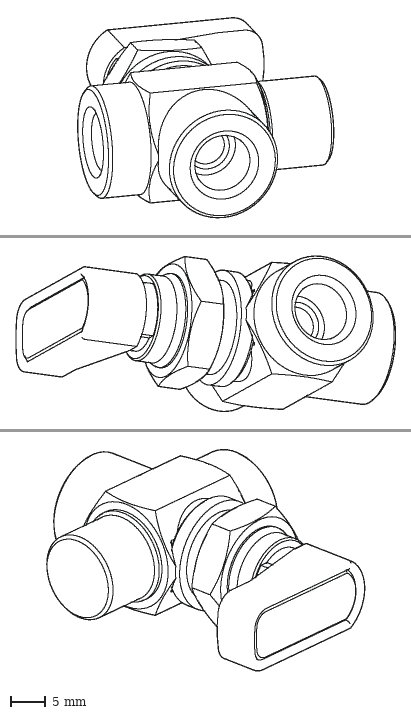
import cadquery as cq
import math


HEX_ACROSS_FLATS = 17.0
HEX_CORNER_RADIUS = HEX_ACROSS_FLATS / math.sqrt(3)
CHAMFER_SLOPE = math.tan(math.radians(30))

BODY_HALF_LENGTH = 9.0
BOSS_RADIUS = 7.45
PORT_RADIUS = 8.3
PORT_REACH_Y = 15.4
PORT_REACH_X = 15.5
PORT_CHAMFER = 0.5
BORE_RADIUS = 4.2
BORE_CHAMFER = 1.05
BORE_DEPTH = 8.35
SEAT_RADIUS = 3.3
SEAT_FLOOR_RADIUS = 2.7
SEAT_DEPTH = SEAT_RADIUS - SEAT_FLOOR_RADIUS
SPIGOT_RADIUS = 6.55
SPIGOT_REACH = 19.6
COLLAR_RADIUS = 7.05
COLLAR_END = 10.1

BONNET_START = -22.45
PILOT_RADIUS = 6.4
PILOT_CHAMFER = 0.3
PILOT_END = -19.55
THREAD_START = -18.38
THREAD_RADIUS = 6.95
FLANGE_START = -10.05
FLANGE_END = -7.4
FLANGE_RADIUS = 8.5
FLANGE_CHAMFER = 0.55

NUT_START = -18.1
NUT_END = -12.85
NUT_FACE_RADIUS = 8.4
NUT_TURN = -3.3

HANDLE_FRONT = -33.5
HANDLE_HALF_WIDTH = 5.55
TIP_RADIUS = 19.0
HUB_RADIUS = 6.35
TIP_CORNER_RADIUS = 2.95
TIP_BACK = -27.05
HUB_BACK = -24.5
SLOPE_TIP_Y = 11.95
SLOPE_HUB_Y = -0.5
RIM_FILLET = 0.6
RECESS_INSET = 1.35
RECESS_CORNER_RADIUS = 2.45
RECESS_DEPTH = 0.95
PANEL_RISE = 0.55
PANEL_BEVEL = 0.5
SKIRT_RADIUS = 5.95
SKIRT_HALF_WIDTH = 3.95

STEM_RADIUS = 5.05


def cylinder_x(radius, start, end):
    return cq.Workplane("YZ", origin=(start, 0, 0)).circle(radius).extrude(end - start)


def hexagon_prism(half_length, face_radius):
    """Hexagon along local Z, centred, with both ends turned down to a cone at face_radius."""
    prism = cq.Workplane("XY").polygon(6, 2 * HEX_CORNER_RADIUS).extrude(half_length, both=True)
    chamfer_depth = (HEX_CORNER_RADIUS - face_radius) * CHAMFER_SLOPE
    turned = (
        cq.Workplane("XZ")
        .moveTo(0, -half_length)
        .lineTo(face_radius, -half_length)
        .lineTo(HEX_CORNER_RADIUS, chamfer_depth - half_length)
        .lineTo(HEX_CORNER_RADIUS, half_length - chamfer_depth)
        .lineTo(face_radius, half_length)
        .lineTo(0, half_length)
        .close()
        .revolve(360, (0, 0, 0), (0, 1, 0))
    )
    return prism.intersect(turned)


def port_plug(reach):
    """Outside of a female port along local Z."""
    return cq.Workplane("XY").circle(PORT_RADIUS).extrude(reach).faces(">Z").chamfer(PORT_CHAMFER)


def port_bore(reach):
    """Hollow of a female port along local Z: mouth chamfer, blind bore and conical seat."""
    floor = reach - BORE_DEPTH
    return (
        cq.Workplane("XZ")
        .moveTo(0, reach)
        .lineTo(BORE_RADIUS + BORE_CHAMFER, reach)
        .lineTo(BORE_RADIUS, reach - BORE_CHAMFER)
        .lineTo(BORE_RADIUS, floor)
        .lineTo(SEAT_RADIUS, floor)
        .lineTo(SEAT_FLOOR_RADIUS, floor - SEAT_DEPTH)
        .lineTo(0, floor - SEAT_DEPTH)
        .close()
        .revolve(360, (0, 0, 0), (0, 1, 0))
    )


def toward_front(shape):
    """Turns local +Z to -Y."""
    return shape.rotate((0, 0, 0), (1, 0, 0), 90)


def toward_right(shape):
    """Turns local +Z to +X."""
    return shape.rotate((0, 0, 0), (0, 1, 0), 90)


def make_spigot():
    collar_step = COLLAR_RADIUS - SPIGOT_RADIUS
    return (
        cq.Workplane("XY")
        .lineTo(COLLAR_RADIUS, 0)
        .lineTo(COLLAR_RADIUS, COLLAR_END - collar_step)
        .lineTo(SPIGOT_RADIUS, COLLAR_END)
        .lineTo(SPIGOT_RADIUS, SPIGOT_REACH - PORT_CHAMFER)
        .lineTo(SPIGOT_RADIUS - PORT_CHAMFER, SPIGOT_REACH)
        .lineTo(0, SPIGOT_REACH)
        .close()
        .revolve(360, (0, 0, 0), (0, 1, 0))
    )


def make_valve_body():
    flange_recess = cylinder_x(FLANGE_RADIUS, FLANGE_START, FLANGE_END)
    return (
        toward_front(hexagon_prism(BODY_HALF_LENGTH, PORT_RADIUS))
        .union(cylinder_x(BOSS_RADIUS, FLANGE_END, 0))
        .union(make_spigot())
        .union(toward_front(port_plug(PORT_REACH_Y)))
        .union(toward_right(port_plug(PORT_REACH_X)))
        .cut(flange_recess)
        .cut(toward_front(port_bore(PORT_REACH_Y)))
        .cut(toward_right(port_bore(PORT_REACH_X)))
    )


def make_bonnet():
    return (
        cq.Workplane("XY")
        .moveTo(BONNET_START, 0)
        .lineTo(BONNET_START, PILOT_RADIUS - PILOT_CHAMFER)
        .lineTo(BONNET_START + PILOT_CHAMFER, PILOT_RADIUS)
        .lineTo(PILOT_END, PILOT_RADIUS)
        .lineTo(THREAD_START, THREAD_RADIUS)
        .lineTo(FLANGE_START, THREAD_RADIUS)
        .lineTo(FLANGE_START, FLANGE_RADIUS)
        .lineTo(FLANGE_END - FLANGE_CHAMFER, FLANGE_RADIUS)
        .lineTo(FLANGE_END, FLANGE_RADIUS - FLANGE_CHAMFER)
        .lineTo(FLANGE_END, 0)
        .close()
        .revolve(360, (0, 0, 0), (1, 0, 0))
    )


def make_panel_nut():
    half_length = (NUT_END - NUT_START) / 2
    nut_middle = (NUT_START + NUT_END) / 2
    hexagon = hexagon_prism(half_length, NUT_FACE_RADIUS).rotate((0, 0, 0), (0, 0, 1), 90)
    return (
        toward_right(hexagon)
        .rotate((0, 0, 0), (1, 0, 0), NUT_TURN)
        .translate((nut_middle, 0, 0))
        .cut(cylinder_x(THREAD_RADIUS, NUT_START, NUT_END))
    )


def handle_outline(inset):
    """Closed outline of the handle on its front plane, moved inward by inset."""
    half_width = HANDLE_HALF_WIDTH - inset
    tip = TIP_RADIUS - inset
    hub = HUB_RADIUS - inset
    tip_y = math.sqrt(tip**2 - half_width**2)
    hub_y = -math.sqrt(hub**2 - half_width**2)
    return (
        cq.Workplane("YZ", origin=(HANDLE_FRONT, 0, 0))
        .moveTo(hub_y, half_width)
        .lineTo(tip_y, half_width)
        .threePointArc((tip, 0), (tip_y, -half_width))
        .lineTo(hub_y, -half_width)
        .threePointArc((-hub, 0), (hub_y, half_width))
        .close()
    )


def handle_block(inset, depth, corner_radius):
    """Handle outline extruded to +X, with rounded corners at the tip."""
    block = handle_outline(inset).extrude(depth)
    return block.edges("|X").edges(">Y").fillet(corner_radius)


def make_handle_skirt():
    """Two opposite walls that hang from the hub around the stem, down to the bonnet."""
    ring = cylinder_x(SKIRT_RADIUS, TIP_BACK, BONNET_START)
    slab = cq.Workplane("XY").box(-2 * HANDLE_FRONT, 2 * SKIRT_RADIUS, 2 * SKIRT_HALF_WIDTH)
    return ring.intersect(slab)


def make_front_recess():
    """Recess in the handle front, without the bevelled panel that stands on its floor."""
    pocket = handle_block(RECESS_INSET, RECESS_DEPTH, RECESS_CORNER_RADIUS)
    panel = (
        handle_block(RECESS_INSET, PANEL_RISE, RECESS_CORNER_RADIUS)
        .faces("<X")
        .chamfer(PANEL_BEVEL)
        .translate((RECESS_DEPTH - PANEL_RISE, 0, 0))
    )
    return pocket.cut(panel)


def make_handle():
    back_relief = (
        cq.Workplane("XY")
        .moveTo(HUB_BACK, SLOPE_HUB_Y)
        .lineTo(TIP_BACK, SLOPE_TIP_Y)
        .lineTo(TIP_BACK, TIP_RADIUS)
        .lineTo(HUB_BACK, TIP_RADIUS)
        .close()
        .extrude(HANDLE_HALF_WIDTH, both=True)
    )
    return (
        handle_block(0, HUB_BACK - HANDLE_FRONT, TIP_CORNER_RADIUS)
        .cut(make_front_recess())
        .faces("<X")
        .edges()
        .fillet(RIM_FILLET)
        .cut(back_relief)
        .union(make_handle_skirt())
        .cut(cylinder_x(STEM_RADIUS, TIP_BACK, BONNET_START))
    )


def make_stem():
    return cylinder_x(STEM_RADIUS, TIP_BACK, BONNET_START)


valve_body = make_valve_body()
bonnet = make_bonnet()
panel_nut = make_panel_nut()
handle = make_handle()
stem = make_stem()

result = cq.Compound.makeCompound(
    [valve_body.val(), bonnet.val(), panel_nut.val(), handle.val(), stem.val()]
)